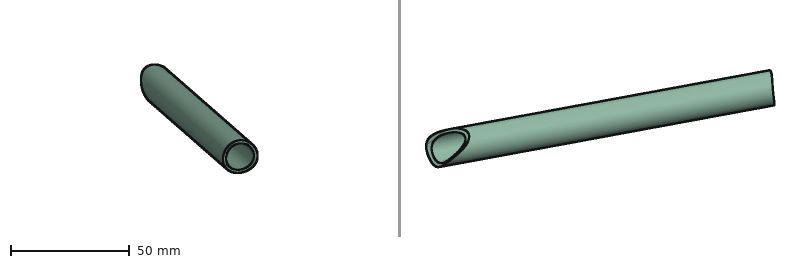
import cadquery as cq


outer_radius = 7.5
wall = 1.5
bore_radius = outer_radius - wall

x_per_rise = 0.920
y_per_rise = -1.204
tube_axis = cq.Vector(x_per_rise, y_per_rise, 1.0).normalized()
node_distance = 191.4

lower_cope_radius = 9.25
lower_cross_axis = cq.Vector(0, 1, 0)
lower_node = cq.Vector(0, 0, 0)

upper_cope_radius = 17.5
upper_x_per_rise = -0.06
upper_y_per_rise = 0.33
upper_cross_axis = cq.Vector(upper_x_per_rise, upper_y_per_rise, 1.0).normalized()
upper_node = tube_axis * node_distance

cutter_length = 100.0


def make_tube():
    """Hollow tube that spans from node to node."""
    section = cq.Workplane(cq.Plane(origin=lower_node.toTuple(), normal=tube_axis.toTuple()))
    return section.circle(outer_radius).circle(bore_radius).extrude(node_distance)


def make_cope_cutter(node, cross_axis, radius):
    """Solid cross tube centred on a node."""
    start = node - cross_axis * (cutter_length / 2)
    return cq.Workplane(obj=cq.Solid.makeCylinder(radius, cutter_length, start, cross_axis))


lower_cope = make_cope_cutter(lower_node, lower_cross_axis, lower_cope_radius)
upper_cope = make_cope_cutter(upper_node, upper_cross_axis, upper_cope_radius)

result = make_tube().cut(lower_cope).cut(upper_cope)